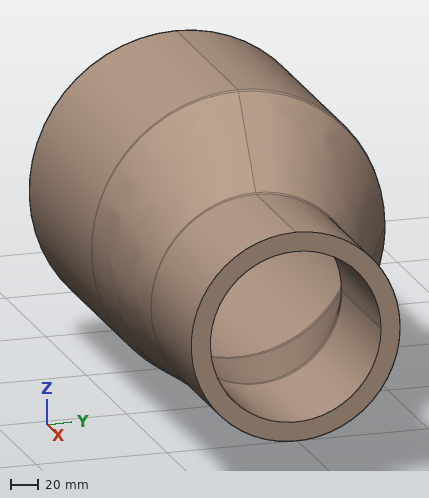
import cadquery as cq
import math

total_length = 402.0
large_length = 154.8
small_length = 99.5
large_outer_diameter = 225.0
large_bore_diameter = 184.0
small_outer_diameter = 160.0
small_bore_diameter = 130.5

large_blend_reach = 3.2
small_blend_reach = 3.0
blend_reach_at_flush_side = 0.5

transition_length = total_length - large_length - small_length
small_start_x = large_length + transition_length
small_axis_y = (small_outer_diameter - large_outer_diameter) / 2


def end_circle(x, axis_y, diameter):
    """Circular section square to the pipe axis."""
    return cq.Wire.makeCircle(diameter / 2, cq.Vector(x, axis_y, 0), cq.Vector(1, 0, 0))


def tilted_section(corner_x, corner_axis_y, diameter, near_slope, far_slope, reach, side):
    """Ellipse where a tilted plane cuts a cylinder or an oblique cone.

    At a distance dx from the corner, the surface spans
    [near_y + near_slope * dx, far_y + far_slope * dx] along Y.
    The side is -1 before the corner and +1 after it.
    """
    near_y = corner_axis_y - diameter / 2
    far_y = corner_axis_y + diameter / 2
    near_dx = side * blend_reach_at_flush_side
    far_dx = side * reach
    start = cq.Vector(corner_x + near_dx, near_y + near_slope * near_dx, 0)
    end = cq.Vector(corner_x + far_dx, far_y + far_slope * far_dx, 0)
    span = end - start

    middle = (start + end) * 0.5
    middle_dx = middle.x - corner_x
    axis_y = corner_axis_y + (near_slope + far_slope) / 2 * middle_dx
    radius = diameter / 2 + (far_slope - near_slope) / 2 * middle_dx
    half_width = math.sqrt(radius**2 - (middle.y - axis_y) ** 2)

    normal = cq.Vector(span.y, -span.x, 0)
    half_length = span.Length / 2
    long_axis = span if half_length > half_width else cq.Vector(0, 0, 1)
    long_radius = max(half_length, half_width)
    short_radius = min(half_length, half_width)
    return cq.Wire.makeEllipse(long_radius, short_radius, middle, normal, long_axis)


def reducer_body(large_diameter, small_diameter):
    """Two parallel cylinders joined by an oblique cone with eased corners."""
    axis_slope = small_axis_y / transition_length
    radius_slope = (small_diameter - large_diameter) / 2 / transition_length
    near_slope = axis_slope - radius_slope
    far_slope = axis_slope + radius_slope

    large_corner = (large_length, 0, large_diameter)
    small_corner = (small_start_x, small_axis_y, small_diameter)
    sections = [
        end_circle(0, 0, large_diameter),
        tilted_section(*large_corner, 0, 0, large_blend_reach, -1),
        tilted_section(*large_corner, near_slope, far_slope, large_blend_reach, 1),
        tilted_section(*small_corner, near_slope, far_slope, small_blend_reach, -1),
        tilted_section(*small_corner, 0, 0, small_blend_reach, 1),
        end_circle(total_length, small_axis_y, small_diameter),
    ]
    return cq.Workplane(cq.Solid.makeLoft(sections, ruled=True))


outer_body = reducer_body(large_outer_diameter, small_outer_diameter)
bore = reducer_body(large_bore_diameter, small_bore_diameter)
result = outer_body.cut(bore)